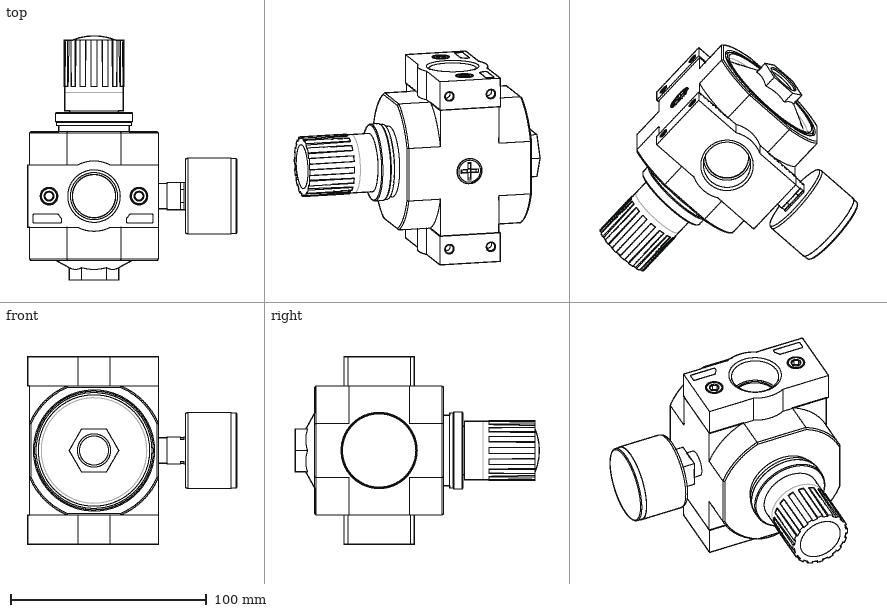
import cadquery as cq
import math


body_half = 33.0
drum_radius = 35.8
drum_chamfer = 0.8
block_depth = 31.0
flow_diameter = 22.0
collar_radius = 18.1
flange_radius = 19.2
flange_start = 36.0
nut_start = 37.8
side_port_diameter = 13.1
side_port_depth = 6.2

plate_thickness = 15.0
plate_depth = 32.0
plate_left = -34.0
plate_boss_radius = 18.0
thread_diameter = 24.1
thread_depth = 14.1
thread_mouth_diameter = 26.9
thread_mouth_depth = 1.0
cross_hole_diameter = 4.2
cross_hole_mouth = 5.0
cross_hole_depth = 6.2
cross_hole_y = 11.0
cross_hole_z = 40.0
drill_point_angle = 118

screw_x = 23.0
screw_diameter = 8.5
screw_top_diameter = 7.8
screw_mouth_diameter = 9.0
socket_flats = 4.1
socket_mouth_diameter = 5.0
socket_depth = 3.1

label_margin = 2.8
label_inner_x = 13.2
label_slope_run = 1.4
label_slope_rise = 2.5
label_corner = 0.5
label_back_y = -9.2
label_front_y = -13.6
label_depth = 0.1

cap_radius = 30.4
cap_mouth_radius = 31.0
cap_back_y = -25.0
cap_rim_outer = 29.6
cap_rim_inner = 28.5
cone_radius = 27.0
cap_wall_y = -30.0
cone_base_y = -28.9
cone_slope = 0.54
hex_flats = 22.0
hex_end_y = -43.0
hex_bore_diameter = 17.0
hex_bore_floor_diameter = 14.9
hex_bore_depth = 1.9

nut_radius = 19.8
nut_end = 42.9
nut_chamfer = 0.5

neck_diameter = 24.9
skirt_start = 43.6
skirt_radius = 15.0
taper_start = 53.0
rib_start = 56.1
grip_end = 79.8
grip_core_radius = 14.5
rib_radius = 15.4
rib_width = 3.0
rib_count = 16
dome_radius = 11.2
knob_end = 82.0

stem_end = 37.4
square_size = 14.0
case_start = 46.8
case_radius = 19.5
case_edge_length = 1.2
case_edge_drop = 0.5
rim_start = 70.0
rim_radius = 19.2
rim_chamfer = 0.5
gauge_end = 73.1
notch_start = 44.2
notch_width = 1.8
notch_depth = 1.4

plug_face_diameter = 11.5
plug_chamfer_depth = 0.5
slot_length = 9.2
slot_floor_length = 7.5
slot_width = 1.6
slot_depth = 1.0
slot_hole_diameter = 2.0
slot_hole_depth = 1.5

plate_top_z = body_half + plate_thickness


def turned_y(points):
    """Solid of revolution about Y from (radius, y) points."""
    return cq.Workplane("XY").polyline(points).close().revolve(360, (0, 0, 0), (0, 1, 0))


def turned_x(points):
    """Solid of revolution about X from (x, radius) points."""
    return cq.Workplane("XY").polyline(points).close().revolve(360, (0, 0, 0), (1, 0, 0))


def cylinder_y(radius, start, end):
    return cq.Workplane("XZ", origin=(0, start, 0)).circle(radius).extrude(start - end)


def across_corners(flats):
    return flats / math.cos(math.radians(30))


def make_housing():
    side = 2 * body_half
    drum = cylinder_y(drum_radius, -body_half, body_half).intersect(cq.Workplane("XY").box(side, side, side))
    drum = drum.faces("<Y or >Y").chamfer(drum_chamfer)
    block = cq.Workplane("XY").box(side, block_depth, side)
    collar = cylinder_y(collar_radius, body_half, nut_start)
    flange = cylinder_y(flange_radius, flange_start, nut_start)
    housing = drum.union(block).union(collar).union(flange)

    flow_bore = cq.Workplane("XY").circle(flow_diameter / 2).extrude(body_half, both=True)
    mouth_step = cap_mouth_radius - cap_radius
    cap_seat = turned_y([
        (0, cap_back_y),
        (cap_radius, cap_back_y),
        (cap_radius, mouth_step - body_half),
        (cap_mouth_radius, -body_half),
        (0, -body_half),
    ])
    side_ports = cq.Workplane("YZ").circle(side_port_diameter / 2).extrude(body_half, both=True)
    port_floor = body_half - side_port_depth
    side_ports = side_ports.cut(cq.Workplane("XY").box(2 * port_floor, side, side))
    return housing.cut(flow_bore).cut(cap_seat).cut(side_ports)


def make_plate():
    """Upper connecting plate, without the features that only its visible face carries."""
    length = body_half - plate_left
    slab = cq.Workplane("XY", origin=(plate_left + length / 2, 0, body_half))
    slab = slab.rect(length, plate_depth).extrude(plate_thickness)
    boss = cq.Workplane("XY", origin=(0, 0, body_half)).circle(plate_boss_radius).extrude(plate_thickness)
    plate = slab.union(boss)

    top = cq.Workplane("XY", origin=(0, 0, plate_top_z))
    plate = plate.cut(top.circle(thread_diameter / 2).extrude(-thread_depth))
    plate = plate.cut(top.circle(flow_diameter / 2).extrude(-plate_thickness))
    mouth = cq.Solid.makeCone(
        thread_diameter / 2, thread_mouth_diameter / 2, thread_mouth_depth,
        cq.Vector(0, 0, plate_top_z - thread_mouth_depth),
    )
    plate = plate.cut(cq.Workplane(mouth))

    hole_radius = cross_hole_diameter / 2
    mouth_step = (cross_hole_mouth - cross_hole_diameter) / 2
    point_length = hole_radius / math.tan(math.radians(drill_point_angle / 2))
    drill = turned_x([
        (0, 0),
        (0, cross_hole_mouth / 2),
        (mouth_step, hole_radius),
        (cross_hole_depth, hole_radius),
        (cross_hole_depth + point_length, 0),
    ])
    for y in (-cross_hole_y, cross_hole_y):
        plate = plate.cut(drill.translate((plate_left, y, cross_hole_z)))
    return plate


def cut_screw_holes(plate):
    mouth_step = (screw_mouth_diameter - screw_diameter) / 2
    for x in (-screw_x, screw_x):
        hole = cq.Workplane("XY", origin=(x, 0, body_half)).circle(screw_diameter / 2).extrude(plate_thickness)
        mouth = cq.Solid.makeCone(
            screw_diameter / 2, screw_mouth_diameter / 2, mouth_step,
            cq.Vector(x, 0, plate_top_z - mouth_step),
        )
        plate = plate.cut(hole).cut(cq.Workplane(mouth))
    return plate


def cut_labels(plate):
    for side, end in ((-1.2, plate_left + label_margin), (1.2, body_half - label_margin)):
        slope_x = side * (label_inner_x + label_slope_run)
        corner_x = side * label_inner_x
        slope_y = label_back_y - label_slope_rise
        recess = cq.Workplane("XY", origin=(0, 0, plate_top_z)).polyline([
            (end, label_front_y),
            (end, label_back_y),
            (slope_x, label_back_y),
            (corner_x, slope_y),
            (corner_x, label_front_y),
        ]).close().extrude(-label_depth).edges("|Z").fillet(label_corner)
        plate = plate.cut(recess)
    return plate


def make_screw(x):
    edge = (screw_diameter - screw_top_diameter) / 2
    screw = cq.Workplane("XY", origin=(x, 0, body_half)).circle(screw_diameter / 2).extrude(plate_thickness)
    screw = screw.faces(">Z").chamfer(edge)
    corners = across_corners(socket_flats)
    socket = cq.Workplane("XY", origin=(x, 0, plate_top_z)).polygon(6, corners).extrude(-socket_depth)
    socket = socket.rotate((x, 0, 0), (x, 0, 1), 30)
    point = cq.Solid.makeCone(
        0, socket_flats / 2, socket_flats / 4,
        cq.Vector(x, 0, plate_top_z - socket_depth - socket_flats / 4),
    )
    mouth_depth = (socket_mouth_diameter - socket_flats) / 2
    mouth = cq.Solid.makeCone(
        socket_flats / 2, socket_mouth_diameter / 2, mouth_depth,
        cq.Vector(x, 0, plate_top_z - mouth_depth),
    )
    return screw.cut(socket).cut(cq.Workplane(point)).cut(cq.Workplane(mouth))


def make_cap():
    edge = cap_radius - cap_rim_outer
    cone_top_radius = hex_bore_diameter / 2
    cone_top_y = cone_base_y - cone_slope * (cone_radius - cone_top_radius)
    dish = (
        cq.Workplane("XY")
        .moveTo(0, cap_back_y)
        .lineTo(cap_radius, cap_back_y)
        .lineTo(cap_radius, edge - body_half)
        .lineTo(cap_rim_outer, -body_half)
        .lineTo(cap_rim_inner, -body_half)
        .lineTo(cap_rim_inner, cap_wall_y)
        .tangentArcPoint((cone_radius, cone_base_y), relative=False)
        .lineTo(cone_top_radius, cone_top_y)
        .lineTo(0, cone_top_y)
        .close()
        .revolve(360, (0, 0, 0), (0, 1, 0))
    )
    hexagon = cq.Workplane("XZ", origin=(0, cap_back_y, 0)).polygon(6, across_corners(hex_flats))
    cap = dish.union(hexagon.extrude(cap_back_y - hex_end_y))
    floor_step = (hex_bore_diameter - hex_bore_floor_diameter) / 2
    floor_y = hex_end_y + hex_bore_depth
    bore = turned_y([
        (0, hex_end_y),
        (hex_bore_diameter / 2, hex_end_y),
        (hex_bore_diameter / 2, floor_y - floor_step),
        (hex_bore_floor_diameter / 2, floor_y),
        (0, floor_y),
    ])
    return cap.cut(bore)


def make_nut():
    ring = cylinder_y(nut_radius, nut_start, nut_end).faces("<Y or >Y").chamfer(nut_chamfer)
    return ring.cut(cylinder_y(neck_diameter / 2, nut_start, nut_end))


def make_knob():
    core = (
        cq.Workplane("XY")
        .moveTo(0, nut_start)
        .lineTo(neck_diameter / 2, nut_start)
        .lineTo(neck_diameter / 2, skirt_start)
        .lineTo(skirt_radius, skirt_start)
        .lineTo(skirt_radius, taper_start)
        .tangentArcPoint((grip_core_radius, grip_end), relative=False)
        .lineTo(dome_radius, grip_end)
    )
    dome_height = knob_end - grip_end
    sphere_radius = (dome_radius**2 + dome_height**2) / (2 * dome_height)
    core = core.radiusArc((0, knob_end), -sphere_radius).close().revolve(360, (0, 0, 0), (0, 1, 0))
    grip_length = grip_end - rib_start
    rib = cq.Workplane("XY").box(rib_radius, grip_length, rib_width, centered=(False, False, True))
    rib = rib.translate((0, rib_start, 0))
    ribs = rib
    for i in range(1, rib_count):
        ribs = ribs.union(rib.rotate((0, 0, 0), (0, 1, 0), i * 360 / rib_count))
    return core.union(ribs.intersect(cylinder_y(rib_radius, rib_start, grip_end)))


def make_gauge():
    stem_radius = side_port_diameter / 2
    turned = turned_x([
        (body_half - side_port_depth, 0),
        (body_half - side_port_depth, stem_radius),
        (case_start, stem_radius),
        (case_start, case_radius - case_edge_drop),
        (case_start + case_edge_length, case_radius),
        (rim_start, case_radius),
        (rim_start, rim_radius),
        (gauge_end - rim_chamfer, rim_radius),
        (gauge_end, rim_radius - rim_chamfer),
        (gauge_end, 0),
    ])
    square = cq.Workplane("YZ", origin=(stem_end, 0, 0)).rect(square_size, square_size)
    square = square.extrude(case_start - stem_end)
    for side in (-1, 1):
        notch = cq.Workplane("XY").box(notch_width, square_size, 2 * notch_depth)
        square = square.cut(notch.translate((notch_start + notch_width / 2, 0, side * square_size / 2)))
    return turned.union(square)


def make_plug():
    face_x = -body_half
    plug = turned_x([
        (face_x + side_port_depth, 0),
        (face_x + side_port_depth, side_port_diameter / 2),
        (face_x + plug_chamfer_depth, side_port_diameter / 2),
        (face_x, plug_face_diameter / 2),
        (face_x, 0),
    ])
    slot = cq.Workplane("XY").polyline([
        (face_x, -slot_length / 2),
        (face_x, slot_length / 2),
        (face_x + slot_depth, slot_floor_length / 2),
        (face_x + slot_depth, -slot_floor_length / 2),
    ]).close().extrude(slot_width / 2, both=True)
    hole = cq.Workplane("YZ", origin=(face_x, 0, 0)).circle(slot_hole_diameter / 2).extrude(slot_hole_depth)
    return plug.cut(slot).cut(slot.rotate((0, 0, 0), (1, 0, 0), 90)).cut(hole)


housing = make_housing()
plain_plate = make_plate()
upper_plate = cut_labels(cut_screw_holes(plain_plate))
lower_plate = plain_plate.mirror("XY")
screws = [make_screw(x) for x in (-screw_x, screw_x)]
cap = make_cap()
nut = make_nut()
knob = make_knob()
gauge = make_gauge()
plug = make_plug()

result = cq.Compound.makeCompound([
    housing.val(),
    upper_plate.val(),
    lower_plate.val(),
    *[screw.val() for screw in screws],
    cap.val(),
    nut.val(),
    knob.val(),
    gauge.val(),
    plug.val(),
])